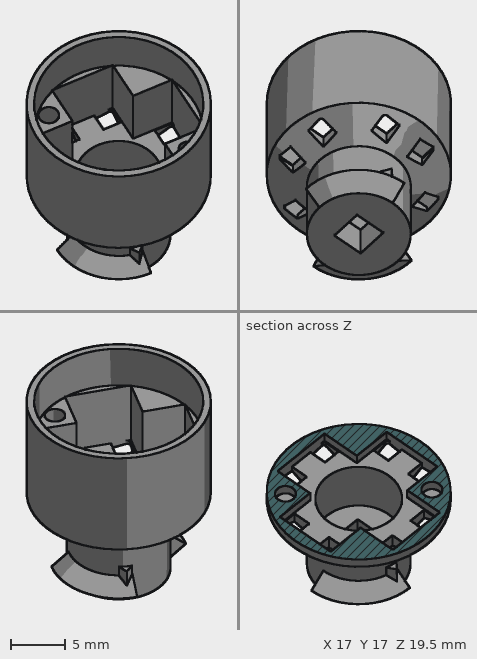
import cadquery as cq

total_height = 19.5
cup_diameter = 17.0
shaft_diameter = 9.6
shaft_radius = shaft_diameter / 2
cone_bottom = 7.02
cone_top = 8.8

rim_bore_diameter = 15.6
ledge_height = 15.21
cross_length = 14.43
cross_width = 6.32
cross_floor = cone_top
bore_diameter = 8
bore_floor = 3.51
drive_square = 3.2

socket_diameter = 1.9
socket_offset = 4.78
socket_depth = ledge_height - cross_floor

window_inner_edge = 1.25
window_outer_edge = 3.08
window_start = 5.38
window_corner_radius = 0.35

lug_radius = 6.44
lug_height = 2.83
lug_mid_height = lug_height / 2
lug_angle = 90

stop_top = 3.85
stop_tip = (5.5, -0.75)
stop_far_corner = (4.65, -1.27)


def make_body():
    profile = [
        (0, 0),
        (shaft_radius, 0),
        (shaft_radius, cone_bottom),
        (cup_diameter / 2, cone_top),
        (cup_diameter / 2, total_height),
        (0, total_height),
    ]
    return cq.Workplane("XZ").polyline(profile).close().revolve(360, (0, 0), (0, 1))


def make_lug():
    """Lug and stop in the +X, -Y quadrant; the root reaches into the shaft."""
    root = bore_diameter / 2
    profile = [
        (root, 0),
        (shaft_radius, 0),
        (lug_radius, lug_mid_height),
        (shaft_radius, lug_height),
        (root, lug_height),
    ]
    ring = cq.Workplane("XZ").polyline(profile).close().revolve(lug_angle, (0, 0), (0, 1))
    ring = ring.mirror("XZ")
    end_corner = (stop_tip[0] + stop_tip[1], 0)
    stop = (
        cq.Workplane("XY", origin=(0, 0, lug_mid_height))
        .polyline([(root, 0), end_corner, stop_tip, stop_far_corner, (root, stop_far_corner[1])])
        .close()
        .extrude(stop_top - lug_mid_height)
    )
    return ring.union(stop)


def plane_at(height):
    return cq.Workplane("XY", origin=(0, 0, height))


def make_window():
    """Window at the +X end of the cross, on its +Y side."""
    window = (
        cq.Workplane("XY")
        .moveTo(window_start, window_inner_edge)
        .lineTo(cross_length / 2, window_inner_edge)
        .lineTo(cross_length / 2, window_outer_edge - window_corner_radius)
        .radiusArc(
            (cross_length / 2 - window_corner_radius, window_outer_edge),
            -window_corner_radius,
        )
        .lineTo(window_start, window_outer_edge)
        .close()
    )
    return window.extrude(ledge_height)


result = make_body()

result = result.cut(plane_at(ledge_height).circle(rim_bore_diameter / 2).extrude(total_height))
for length, width in ((cross_length, cross_width), (cross_width, cross_length)):
    result = result.cut(plane_at(cross_floor).rect(length, width).extrude(ledge_height - cross_floor))
result = result.cut(plane_at(bore_floor).circle(bore_diameter / 2).extrude(cross_floor - bore_floor))
result = result.cut(cq.Workplane("XY").rect(drive_square, drive_square).extrude(cross_floor))

for side in (1, -1):
    socket = (
        plane_at(ledge_height - socket_depth)
        .center(side * socket_offset, side * socket_offset)
        .circle(socket_diameter / 2)
        .extrude(socket_depth)
    )
    result = result.cut(socket)

window = make_window()
window_pair = window.union(window.mirror("XZ"))
for angle in (0, 90, 180, 270):
    result = result.cut(window_pair.rotate((0, 0, 0), (0, 0, 1), angle))

lug = make_lug()
for angle in (0, 180):
    result = result.union(lug.rotate((0, 0, 0), (0, 0, 1), angle))